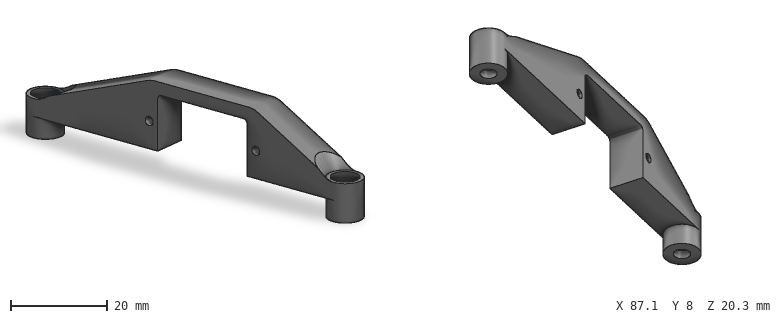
import cadquery as cq

length = 87.1
width = 8.0
height = 20.3

post_diameter = width
post_height = 8.8
post_x = (length - post_diameter) / 2
bore_diameter = 6.2
screw_hole_diameter = 3.6
bore_floor = 2.0

bridge_bottom = 4.8
flat_left = -8.5
flat_right = 18.5
bend_radius = 5.2

opening_left = -6.8
opening_right = 16.8
opening_top = 17.4
opening_corner_radius = 1.0

cross_hole_diameter = 2.0
cross_hole_offset = 2.3
cross_hole_z = 11.0

relief_slope_left = 0.9
relief_slope_right = 1.3
relief_height = height - post_height


def make_bridge():
    """Bridge with sloping shoulders that run down to the post tops."""
    outline = [
        (-post_x, bridge_bottom),
        (-post_x, post_height),
        (flat_left, height),
        (flat_right, height),
        (post_x, post_height),
        (post_x, bridge_bottom),
    ]
    body = cq.Workplane("XZ").polyline(outline).close().extrude(width / 2, both=True)
    bends = cq.selectors.BoxSelector(
        (flat_left - 0.9, -width, height - 0.9), (flat_right + 0.9, width, height + 0.9)
    )
    return body.edges("|Y").edges(bends).fillet(bend_radius)


def make_opening():
    """Opening cutter with rounded upper corners."""
    opening_width = opening_right - opening_left
    return (
        cq.Workplane("XY")
        .box(opening_width, width, opening_top, centered=(False, True, False))
        .edges("|Y and >Z")
        .fillet(opening_corner_radius)
        .translate((opening_left, 0, 0))
    )


def make_cross_hole(x):
    return (
        cq.Workplane("XZ")
        .center(x, cross_hole_z)
        .circle(cross_hole_diameter / 2)
        .extrude(width, both=True)
    )


def make_relief(x, slope):
    """Upward-flaring cone that starts at the rim of a post."""
    rim_radius = post_diameter / 2
    cone = cq.Solid.makeCone(
        rim_radius, rim_radius + relief_height / slope, relief_height
    )
    return cq.Workplane(cone).translate((x, 0, post_height))


def make_cylinder(x, diameter, bottom, top):
    return (
        cq.Workplane("XY", origin=(x, 0, bottom))
        .circle(diameter / 2)
        .extrude(top - bottom)
    )


result = make_bridge().cut(make_opening())

for hole_x in (opening_left - cross_hole_offset, opening_right + cross_hole_offset):
    result = result.cut(make_cross_hole(hole_x))

for x, slope in ((-post_x, relief_slope_left), (post_x, relief_slope_right)):
    result = result.cut(make_relief(x, slope))
    result = result.union(make_cylinder(x, post_diameter, 0, post_height))
    result = result.cut(make_cylinder(x, bore_diameter, bore_floor, post_height))
    result = result.cut(make_cylinder(x, screw_hole_diameter, 0, post_height))